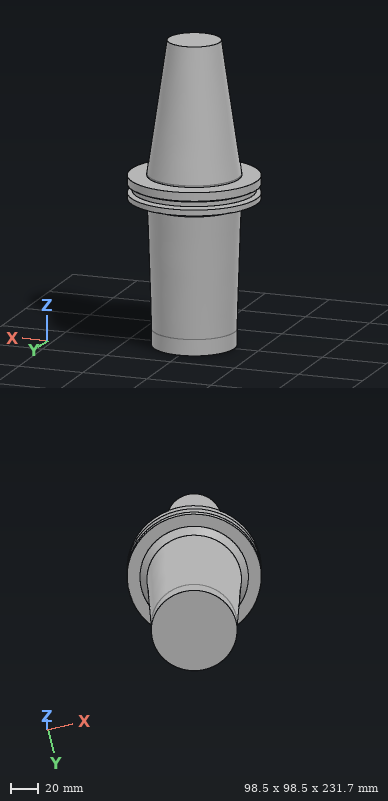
import cadquery as cq

total_height = 231.7
nose_height = 12.5
body_top = 106.5
flange_bottom = 111.5
flange_top = 129.0
taper_bottom = 130.2

nose_diameter = 63.0
body_top_diameter = 69.3
collar_diameter = 79.5
flange_diameter = 98.5
gauge_diameter = 69.7
taper_ratio = 7 / 24
taper_top_diameter = gauge_diameter - taper_ratio * (total_height - taper_bottom)

groove_diameter = 91.3
groove_bottom = 115.8
groove_top = 122.5
groove_wall_rise = 1.6


def make_holder():
    """Revolve the plain tool holder: nose, body, collar, flange and taper."""
    profile = [
        (0, 0),
        (nose_diameter / 2, 0),
        (nose_diameter / 2, nose_height),
        (body_top_diameter / 2, body_top),
        (collar_diameter / 2, flange_bottom),
        (flange_diameter / 2, flange_bottom),
        (flange_diameter / 2, flange_top),
        (gauge_diameter / 2, flange_top),
        (gauge_diameter / 2, taper_bottom),
        (taper_top_diameter / 2, total_height),
        (0, total_height),
    ]
    return cq.Workplane("XZ").polyline(profile).close().revolve(360, (0, 0), (0, 1))


def make_groove():
    """Ring with sloped walls that is cut from the flange rim."""
    profile = [
        (flange_diameter / 2, groove_bottom),
        (groove_diameter / 2, groove_bottom + groove_wall_rise),
        (groove_diameter / 2, groove_top - groove_wall_rise),
        (flange_diameter / 2, groove_top),
    ]
    return cq.Workplane("XZ").polyline(profile).close().revolve(360, (0, 0), (0, 1))


result = make_holder().cut(make_groove())